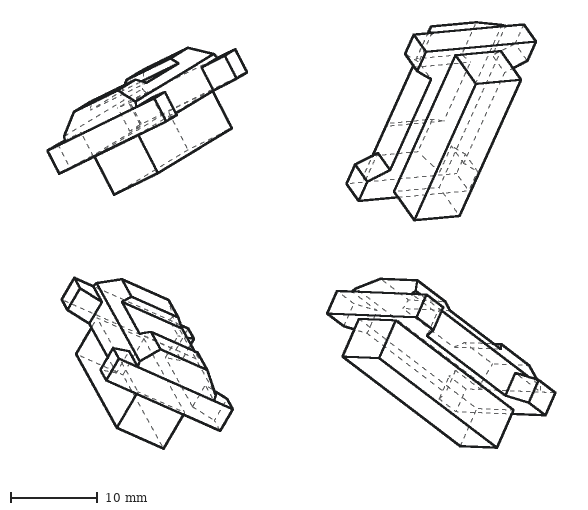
import cadquery as cq

tilt = 30.0
length = 23.13

base_width = 15.6
base_thickness = 3.0
body_width = 10.4
lug_tip_length = 3.0
lug_root_length = 4.53

cap_height = 2.61
cap_top_width = 6.4
cap_bevel = (body_width - cap_top_width) / 2
cap_end_inset = 1.53

saddle_depth = 0.9
saddle_top_length = 10.04
saddle_floor_length = 9.11

stem_width = cap_top_width
stem_height = 5.0
stem_end_inset = 1.0
stem_length = length - 2 * stem_end_inset


def extrude_across(points):
    """Extrude a Y-Z outline across the full width of the body."""
    return cq.Workplane("YZ").polyline(points).close().extrude(body_width / 2, both=True)


def make_base():
    core = cq.Workplane("XY").rect(body_width, length).extrude(-base_thickness)
    for side_x in (-1, 1):
        for side_y in (-1, 1):
            root_x = side_x * body_width / 2
            tip_x = side_x * base_width / 2
            end_y = side_y * length / 2
            lug = (
                cq.Workplane("XY")
                .moveTo(0, end_y)
                .lineTo(tip_x, end_y)
                .lineTo(tip_x, end_y - side_y * lug_tip_length)
                .lineTo(root_x, end_y - side_y * lug_root_length)
                .lineTo(0, end_y - side_y * lug_root_length)
                .close()
                .extrude(-base_thickness)
            )
            core = core.union(lug)
    return core


def make_cap():
    half_body = body_width / 2
    half_top = cap_top_width / 2
    shoulder_height = cap_height - cap_bevel
    cross_section = [
        (-half_body, 0),
        (half_body, 0),
        (half_body, shoulder_height),
        (half_top, cap_height),
        (-half_top, cap_height),
        (-half_body, shoulder_height),
    ]
    cap = cq.Workplane("XZ").polyline(cross_section).close().extrude(length / 2, both=True)

    end_y = length / 2
    saddle_floor = cap_height - saddle_depth
    side_outline = [
        (-end_y, 0),
        (end_y, 0),
        (end_y - cap_end_inset, cap_height),
        (saddle_top_length / 2, cap_height),
        (saddle_floor_length / 2, saddle_floor),
        (-saddle_floor_length / 2, saddle_floor),
        (-saddle_top_length / 2, cap_height),
        (-end_y + cap_end_inset, cap_height),
    ]
    return cap.intersect(extrude_across(side_outline))


def make_stem():
    return (
        cq.Workplane("XY")
        .workplane(offset=-base_thickness)
        .rect(stem_width, stem_length)
        .extrude(-stem_height)
    )


level_part = make_base().union(make_cap()).union(make_stem())
result = level_part.rotate((0, 0, 0), (0, 1, 0), -tilt)